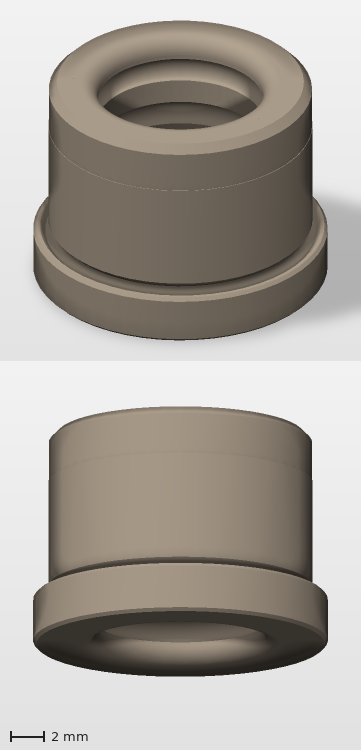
import cadquery as cq

flange_radius = 8.9
total_height = 13.0
flange_height = 2.99
flange_chamfer = 0.2

barrel_radius = 8.0
lead_radius = 7.95
lead_length = 2.99
lead_chamfer = 0.5

relief_height = 0.55
relief_chamfer = 0.43
relief_outer_radius = 8.47
relief_depth = 0.3
relief_rounding = 0.3

liner_radius = 6.5
bore_radius = 5.0
mouth_rounding = 1.0

groove_count = 4
groove_pitch = 2.99
groove_radius = 0.75


def make_collar():
    """Flanged sleeve revolved from its half section."""
    lead_bottom = total_height - lead_length
    relief_top = flange_height + relief_height
    neck_radius = barrel_radius - relief_chamfer
    neck_top = relief_top - relief_chamfer
    floor = flange_height - relief_depth
    section = (
        cq.Workplane("XZ")
        .moveTo(liner_radius, 0)
        .lineTo(flange_radius - flange_chamfer, 0)
        .lineTo(flange_radius, flange_chamfer)
        .lineTo(flange_radius, flange_height - flange_chamfer)
        .lineTo(flange_radius - flange_chamfer, flange_height)
        .lineTo(relief_outer_radius, flange_height)
        .lineTo(relief_outer_radius - relief_depth, floor)
        .lineTo(neck_radius + relief_rounding, floor)
        .tangentArcPoint((neck_radius, floor + relief_rounding), relative=False)
        .lineTo(neck_radius, neck_top)
        .lineTo(barrel_radius, relief_top)
        .lineTo(barrel_radius, lead_bottom)
        .lineTo(lead_radius, lead_bottom)
        .lineTo(lead_radius, total_height - lead_chamfer)
        .lineTo(lead_radius - lead_chamfer, total_height)
        .lineTo(liner_radius, total_height)
        .close()
    )
    return section.revolve(360, (0, 0, 0), (0, 1, 0))


def make_liner():
    """Plain tube with rounded bore mouths and ring grooves in the bore."""
    liner = (
        cq.Workplane("XY")
        .circle(liner_radius)
        .circle(bore_radius)
        .extrude(total_height)
    )
    bore_edges = cq.selectors.RadiusNthSelector(0)
    liner = liner.edges("%CIRCLE").edges(bore_edges).fillet(mouth_rounding)
    for index in range(groove_count):
        offset = (index - (groove_count - 1) / 2) * groove_pitch
        ring = (
            cq.Workplane("XZ")
            .center(-bore_radius, total_height / 2 + offset)
            .circle(groove_radius)
            .revolve(360, (bore_radius, 0, 0), (bore_radius, 1, 0))
        )
        liner = liner.cut(ring)
    return liner


collar = make_collar()
liner = make_liner()
result = cq.Compound.makeCompound([collar.val(), liner.val()])